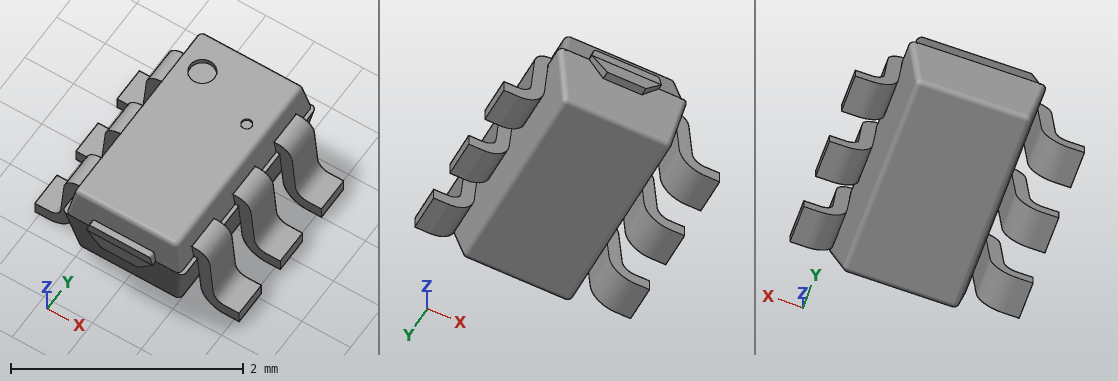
import cadquery as cq
import math

OVERALL_LENGTH = 2.15
LEAD_SPAN = 2.1
BODY_LENGTH = 2.1
UPPER_WIDTH = 1.172
LOWER_WIDTH = 1.25
BODY_BOTTOM_Z = 0.05
PARTING_Z = 0.63
BODY_TOP_Z = 0.95
DRAFT_ANGLE = 10
EDGE_RADIUS = 0.05

GATE_PROTRUSION = OVERALL_LENGTH - BODY_LENGTH
GATE_ROOT = 0.085
GATE_WIDTH = 0.677
GATE_TOP_WIDTH = 0.63
GATE_BOTTOM_WIDTH = 0.376
GATE_RISE = 0.097
GATE_DROP = 0.15
GATE_RADIUS = 0.025

INDEX_DIAMETER = 0.25
INDEX_CENTRE = (-0.285, 0.645)
INDEX_DEPTH = 0.05
DOT_DIAMETER = 0.103
DOT_CENTRE = (0.333, 0.395)
DOT_DEPTH = 0.02

LEADS_PER_SIDE = 3
LEAD_PITCH = 0.65
LEAD_WIDTH = 0.35
LEAD_THICKNESS = 0.13
FOOT_LENGTH = 0.146
LEG_ANGLE = 5
SHOULDER_INNER_RADIUS = 0.022
ANKLE_INNER_RADIUS = 0.12
LEAD_INNER_X = 0.43


def polar(centre, radius, degrees):
    """Point on a circle in the lead's XZ profile."""
    angle = math.radians(degrees)
    return (centre[0] + radius * math.cos(angle), centre[1] + radius * math.sin(angle))


def moulded_half(width, height, outer_face):
    """Drafted half moulding; a negative height grows downward from the parting plane."""
    block = (
        cq.Workplane("XY", origin=(0, 0, PARTING_Z))
        .rect(width, BODY_LENGTH)
        .extrude(height, taper=DRAFT_ANGLE)
    )
    wall_corners = block.edges("not(#Z or |X or |Y)")
    return wall_corners.fillet(EDGE_RADIUS).faces(outer_face).edges().fillet(EDGE_RADIUS)


def gate_half(outer_width, height):
    """Trapezoidal block on the -Y end wall; a negative height grows downward."""
    outer_z = PARTING_Z + height
    front_y = -BODY_LENGTH / 2 - GATE_PROTRUSION
    return (
        cq.Workplane("XZ", origin=(0, front_y, 0))
        .polyline([
            (-GATE_WIDTH / 2, PARTING_Z),
            (GATE_WIDTH / 2, PARTING_Z),
            (outer_width / 2, outer_z),
            (-outer_width / 2, outer_z),
        ])
        .close()
        .extrude(-(GATE_PROTRUSION + GATE_ROOT))
    )


def round_mark(diameter, centre, depth):
    """Cutter for a shallow round recess in the top face."""
    return (
        cq.Workplane("XY", origin=(*centre, BODY_TOP_Z))
        .circle(diameter / 2)
        .extrude(-depth)
    )


def make_lead():
    """Lead on the +X side at Y = 0, its shoulder lying on the parting plane."""
    shoulder_outer_radius = SHOULDER_INNER_RADIUS + LEAD_THICKNESS
    ankle_outer_radius = ANKLE_INNER_RADIUS + LEAD_THICKNESS
    tip_x = LEAD_SPAN / 2
    top_z = PARTING_Z + LEAD_THICKNESS

    ankle = (tip_x - FOOT_LENGTH, ankle_outer_radius)
    shoulder_z = PARTING_Z - SHOULDER_INNER_RADIUS
    leg = math.radians(LEG_ANGLE)
    bend_gap = ANKLE_INNER_RADIUS + shoulder_outer_radius
    bend_rise = shoulder_z - ankle[1]
    shoulder = (ankle[0] - (bend_gap + bend_rise * math.sin(leg)) / math.cos(leg), shoulder_z)

    shoulder_mid = (90 + LEG_ANGLE) / 2
    ankle_start = 180 + LEG_ANGLE
    ankle_mid = (ankle_start + 270) / 2

    profile = (
        cq.Workplane("XZ", origin=(0, LEAD_WIDTH / 2, 0))
        .moveTo(LEAD_INNER_X, PARTING_Z)
        .lineTo(shoulder[0], PARTING_Z)
        .threePointArc(
            polar(shoulder, SHOULDER_INNER_RADIUS, shoulder_mid),
            polar(shoulder, SHOULDER_INNER_RADIUS, LEG_ANGLE),
        )
        .lineTo(*polar(ankle, ankle_outer_radius, ankle_start))
        .threePointArc(polar(ankle, ankle_outer_radius, ankle_mid), (ankle[0], 0))
        .lineTo(tip_x, 0)
        .lineTo(tip_x, LEAD_THICKNESS)
        .lineTo(ankle[0], LEAD_THICKNESS)
        .threePointArc(
            polar(ankle, ANKLE_INNER_RADIUS, ankle_mid),
            polar(ankle, ANKLE_INNER_RADIUS, ankle_start),
        )
        .lineTo(*polar(shoulder, shoulder_outer_radius, LEG_ANGLE))
        .threePointArc(
            polar(shoulder, shoulder_outer_radius, shoulder_mid),
            (shoulder[0], top_z),
        )
        .lineTo(LEAD_INNER_X, top_z)
        .close()
    )
    return profile.extrude(LEAD_WIDTH)


leads = []
for row in range(LEADS_PER_SIDE):
    row_y = (row - (LEADS_PER_SIDE - 1) / 2) * LEAD_PITCH
    for turn in (0, 180):
        leads.append(make_lead().rotate((0, 0, 0), (0, 0, 1), turn).translate((0, row_y, 0)))

upper_gate = gate_half(GATE_TOP_WIDTH, GATE_RISE).faces(">Z").edges("|Y").fillet(GATE_RADIUS)
upper_half = moulded_half(UPPER_WIDTH, BODY_TOP_Z - PARTING_Z, ">Z").union(upper_gate)
upper_half = upper_half.cut(round_mark(INDEX_DIAMETER, INDEX_CENTRE, INDEX_DEPTH))
upper_half = upper_half.cut(round_mark(DOT_DIAMETER, DOT_CENTRE, DOT_DEPTH))

lower_gate = gate_half(GATE_BOTTOM_WIDTH, -GATE_DROP)
lower_half = moulded_half(LOWER_WIDTH, BODY_BOTTOM_Z - PARTING_Z, "<Z").union(lower_gate)

for lead in leads:
    upper_half = upper_half.cut(lead)
    lower_half = lower_half.cut(lead)

result = cq.Compound.makeCompound([
    upper_half.solids().val(),
    lower_half.solids().val(),
    *[lead.val() for lead in leads],
])